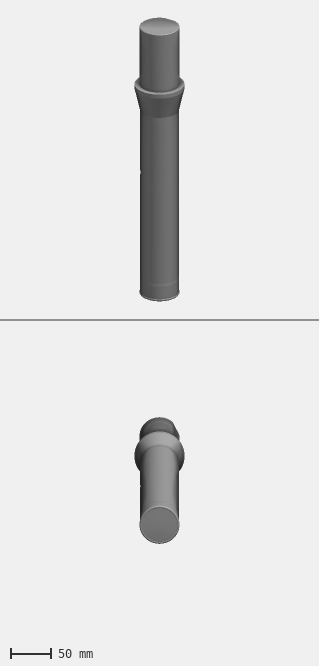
import cadquery as cq


total_length = 370.98
shank_length = 80.0
tip_z = shank_length - total_length

shank_radius = 49.99 / 2
shank_chamfer = 0.7
flat_depth = 2.0
flat_start_z = 3.0

flange_radius = 62.5 / 2
flange_thickness = 5.5
neck_cone_end_z = -35.5

body_radius = 48.25 / 2
guide_radius = 48.75 / 2
collar_bottom_z = -41.0
taper_bottom_z = -138.5
step_top_z = -266.5
step_bottom_z = -270.0

crown_radius = 25.0
crown_rim_rise = 2.2
crown_height = 3.3
crown_face_radius = 22.3
crown_face_rise = 0.5
crown_top_z = tip_z + crown_height
crown_face_z = tip_z + crown_face_rise
crown_rim_z = tip_z + crown_rim_rise


def revolve_profile(profile):
    """Turn a half profile, drawn as radius and height, about the Z axis."""
    return profile.close().revolve(360, (0, 0, 0), (0, 1, 0))


def make_holder():
    holder = revolve_profile(
        cq.Workplane("XZ")
        .moveTo(0, crown_top_z)
        .lineTo(guide_radius, crown_top_z)
        .lineTo(guide_radius, step_bottom_z)
        .lineTo(body_radius, step_top_z)
        .lineTo(body_radius, taper_bottom_z)
        .lineTo(guide_radius, collar_bottom_z)
        .lineTo(guide_radius, neck_cone_end_z)
        .lineTo(flange_radius, -flange_thickness)
        .lineTo(flange_radius, 0)
        .lineTo(shank_radius, 0)
        .lineTo(shank_radius, shank_length - shank_chamfer)
        .lineTo(shank_radius - shank_chamfer, shank_length)
        .lineTo(0, shank_length)
    )
    return holder.cut(make_flat_cutter())


def make_flat_cutter():
    """Clamping flat on the +Y side of the shank, running out at 45 degrees above the flange."""
    flat_y = shank_radius - flat_depth
    return (
        cq.Workplane("YZ")
        .moveTo(flat_y, shank_length)
        .lineTo(flat_y, flat_start_z + flat_depth)
        .lineTo(shank_radius, flat_start_z)
        .lineTo(flange_radius, flat_start_z)
        .lineTo(flange_radius, shank_length)
        .close()
        .extrude(shank_radius, both=True)
    )


def make_crown():
    """Cutting crown with a rounded rim that stands out past the body and a nearly flat pointed face."""
    return revolve_profile(
        cq.Workplane("XZ")
        .moveTo(0, crown_top_z)
        .lineTo(guide_radius, crown_top_z)
        .threePointArc((crown_radius, crown_rim_z), (crown_face_radius, crown_face_z))
        .lineTo(0, tip_z)
    )


holder = make_holder()
crown = make_crown()

result = cq.Compound.makeCompound([holder.val(), crown.val()])